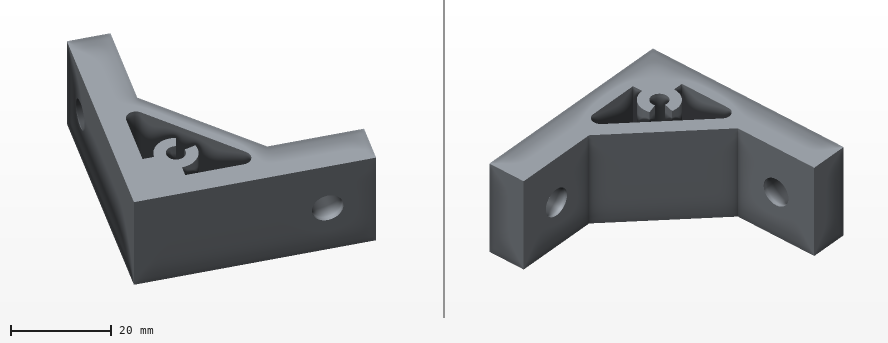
import cadquery as cq
import math

arm_length = 50.0
height = 22.0
arm_thickness = 9.0
brace_reach = 30.0
brace_thickness = 3.5
pocket_wall = 5.1
pocket_round = 2.0
clip_offset = 12.0
clip_outer_radius = 4.5
clip_bore_radius = 2.0
clip_opening = 60.0
bolt_diameter = 6.5
bolt_end_distance = 10.0

brace_outer_sum = brace_reach + arm_thickness
brace_inner_sum = brace_outer_sum - brace_thickness * math.sqrt(2)


def make_body():
    """L-shaped bracket with a solid diagonal brace in the inner corner."""
    return (
        cq.Workplane("XY")
        .polyline([
            (0, 0),
            (0, arm_length),
            (-arm_thickness, arm_length),
            (-arm_thickness, brace_reach),
            (-brace_reach, arm_thickness),
            (-arm_length, arm_thickness),
            (-arm_length, 0),
        ])
        .close()
        .extrude(height)
    )


def clip_cylinder(radius):
    return (
        cq.Workplane("XY")
        .center(-clip_offset, clip_offset)
        .circle(radius)
        .extrude(height)
    )


def clip_opening_wedge():
    """Wedge from the clip centre that opens the ring toward the brace."""
    half_angle = math.radians(clip_opening / 2)
    middle_angle = math.radians(135)
    reach = 2 * clip_outer_radius
    tips = [
        (reach * math.cos(angle), reach * math.sin(angle))
        for angle in (middle_angle - half_angle, middle_angle + half_angle)
    ]
    return (
        cq.Workplane("XY")
        .center(-clip_offset, clip_offset)
        .polyline([(0, 0)] + tips)
        .close()
        .extrude(height)
    )


def make_pocket():
    """Triangular pocket, leaving the corner block and the open clip ring."""
    far_end = brace_inner_sum - pocket_wall
    triangle = (
        cq.Workplane("XY")
        .polyline([
            (-pocket_wall, pocket_wall),
            (-pocket_wall, far_end),
            (-far_end, pocket_wall),
        ])
        .close()
        .extrude(height)
        .edges("|Z")
        .edges("<X or >Y")
        .fillet(pocket_round)
    )
    corner_block = cq.Workplane("XY").box(
        clip_offset, clip_offset, height, centered=False
    ).translate((-clip_offset, 0, 0))
    clip_ring = clip_cylinder(clip_outer_radius).cut(clip_opening_wedge())
    return triangle.cut(corner_block).cut(clip_ring)


def bolt_hole(along_x):
    """Bolt hole through one arm, at mid height near its free end."""
    position = arm_length - bolt_end_distance
    if along_x:
        start = cq.Vector(-arm_thickness, position, height / 2)
        direction = cq.Vector(1, 0, 0)
    else:
        start = cq.Vector(-position, 0, height / 2)
        direction = cq.Vector(0, 1, 0)
    return cq.Solid.makeCylinder(bolt_diameter / 2, arm_thickness, start, direction)


result = make_body().cut(make_pocket()).cut(clip_cylinder(clip_bore_radius))
for along_x in (False, True):
    result = result.cut(bolt_hole(along_x))